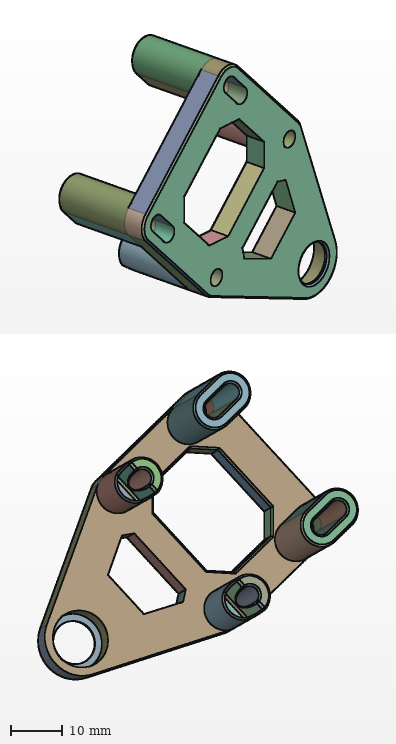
import cadquery as cq
import math

plate_thickness = 4.8
overall_depth = 21.8
post_height = overall_depth - plate_thickness
edge_chamfer = 0.4

eye_radius = 7.3
pivot_hole_diameter = 8.5
pivot_recess_diameter = 11.3
pivot_recess_depth = 4.0

post_radius = 4.1
bolt_hole_diameter = 3.5
post_offset = 15.5
pin_u = 26.05
boss_u = 48.95
slot_travel = 5.0
slot_end_u = boss_u + slot_travel / 2

ledge_depth = 5.0
ramp_start = 0.0
ramp_run = 2.2

window_start_u = 28.9
window_end_u = 47.55
window_width = 23.3
window_corner = 4.0

opening_start = (13.15, 5.2)
opening_shoulder = (20.85, 8.8)
opening_end = (23.0, 7.45)

part_frame = cq.Plane(origin=(0, 0, 0), xDir=(0, -1, 1), normal=(-1, 0, 0))


def on_circle(center, radius, angle):
    return (center[0] + radius * math.cos(angle), center[1] + radius * math.sin(angle))


def mirrored(point):
    return (point[0], -point[1])


def plate():
    """Plate wrapped tightly around the eye, the pins and the outer ends of the bosses."""
    eye = (0, 0)
    pin = (pin_u, post_offset)
    boss_end = (slot_end_u, post_offset)
    flank_angle = math.atan2(post_offset, pin_u)
    flank_angle += math.acos((eye_radius - post_radius) / math.hypot(pin_u, post_offset))
    side_angle = math.pi / 2

    eye_tangent = on_circle(eye, eye_radius, flank_angle)
    pin_start = on_circle(pin, post_radius, flank_angle)
    pin_middle = on_circle(pin, post_radius, (flank_angle + side_angle) / 2)
    pin_end = on_circle(pin, post_radius, side_angle)
    boss_start = on_circle(boss_end, post_radius, side_angle)
    boss_middle = on_circle(boss_end, post_radius, side_angle / 2)
    boss_finish = on_circle(boss_end, post_radius, 0)

    outline = (
        cq.Workplane("XY")
        .moveTo(*eye_tangent)
        .lineTo(*pin_start)
        .threePointArc(pin_middle, pin_end)
        .lineTo(*boss_start)
        .threePointArc(boss_middle, boss_finish)
        .lineTo(*mirrored(boss_finish))
        .threePointArc(mirrored(boss_middle), mirrored(boss_start))
        .lineTo(*mirrored(pin_end))
        .threePointArc(mirrored(pin_middle), mirrored(pin_start))
        .lineTo(*mirrored(eye_tangent))
        .threePointArc((-eye_radius, 0), eye_tangent)
        .close()
    )
    return outline.extrude(plate_thickness).faces("<Z").edges().chamfer(edge_chamfer)


def octagon(height):
    """Window outline sketched at the given height."""
    half_length = (window_end_u - window_start_u) / 2
    half_width = window_width / 2
    quarter = [(half_length, half_width - window_corner), (half_length - window_corner, half_width)]
    upper = quarter + [(-u, v) for u, v in reversed(quarter)]
    lower = [(-u, -v) for u, v in upper]
    center_u = (window_start_u + window_end_u) / 2
    return cq.Workplane("XY", origin=(center_u, 0, height)).polyline(upper + lower).close()


def window():
    """Octagonal cutter, flared at 45 degrees on the post side of the plate."""
    flare = octagon(plate_thickness - edge_chamfer).extrude(edge_chamfer, taper=-45)
    return octagon(0).extrude(plate_thickness).union(flare)


def lightening_opening():
    upper = [opening_start, opening_shoulder, opening_end]
    lower = [mirrored(point) for point in reversed(upper)]
    return cq.Workplane("XY").polyline(upper + lower).close().extrude(plate_thickness)


def pin():
    """Round pin with a bolt hole and a relieved tip, every tip edge chamfered."""
    body = cq.Workplane("XY").circle(post_radius).circle(bolt_hole_diameter / 2).extrude(post_height)
    ledge_height = post_height - ledge_depth
    relief = (
        cq.Workplane("XZ")
        .moveTo(ramp_start, post_height)
        .lineTo(ramp_start - ramp_run, ledge_height)
        .lineTo(-2 * post_radius, ledge_height)
        .lineTo(-2 * post_radius, post_height)
        .close()
        .extrude(2 * post_radius, both=True)
    )
    return body.cut(relief).edges("not(|Z or <Z)").chamfer(edge_chamfer)


def boss():
    """Slotted boss, chamfered inside and outside at its free end."""
    return (
        cq.Workplane("XY")
        .slot2D(slot_travel + 2 * post_radius, 2 * post_radius)
        .slot2D(slot_travel + bolt_hole_diameter, bolt_hole_diameter)
        .extrude(post_height)
        .faces(">Z").edges()
        .chamfer(edge_chamfer)
    )


def pivot_hole():
    """Stepped hole: a wide recess on the post side and a chamfered mouth on the back."""
    hole_radius = pivot_hole_diameter / 2
    recess_radius = pivot_recess_diameter / 2
    recess_floor = plate_thickness - pivot_recess_depth
    return (
        cq.Workplane("XZ")
        .moveTo(0, 0)
        .lineTo(hole_radius + edge_chamfer, 0)
        .lineTo(hole_radius, edge_chamfer)
        .lineTo(hole_radius, recess_floor)
        .lineTo(recess_radius, recess_floor)
        .lineTo(recess_radius, plate_thickness)
        .lineTo(0, plate_thickness)
        .close()
        .revolve(360, (0, 0, 0), (0, 1, 0))
    )


pin_hole = cq.Workplane("XY").circle(bolt_hole_diameter / 2).extrude(plate_thickness)
boss_slot = (
    cq.Workplane("XY")
    .slot2D(slot_travel + bolt_hole_diameter, bolt_hole_diameter)
    .extrude(plate_thickness)
)

body = plate().cut(window()).cut(lightening_opening()).cut(pivot_hole())
for v in (post_offset, -post_offset):
    body = body.union(pin().translate((pin_u, v, plate_thickness)))
    body = body.union(boss().translate((boss_u, v, plate_thickness)))
    body = body.cut(pin_hole.translate((pin_u, v, 0)))
    body = body.cut(boss_slot.translate((boss_u, v, 0)))

body = body.clean()
result = cq.Workplane("XY").newObject([body.val().located(cq.Location(part_frame))])